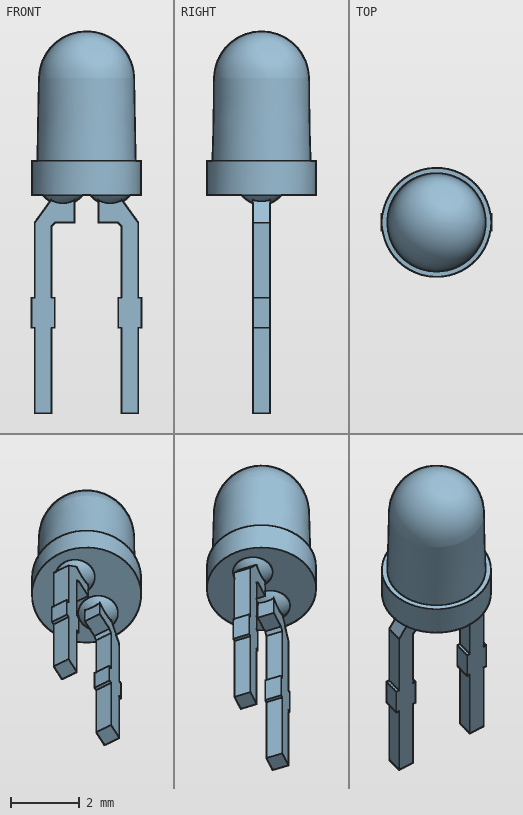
import cadquery as cq
import math

total_height = 11.2
overall_width = 3.24

flange_diameter = 3.2
flange_bottom = 6.4
flange_height = 1.01
flange_top = flange_bottom + flange_height
barrel_base_radius = 1.45
dome_radius = 1.4

drop_radius = 0.58
drop_depth = 0.28
drop_offset = 0.7

lead_thickness = 0.5
tab_width = 0.7
lead_offset = (overall_width - tab_width) / 2
tab_bottom = 2.51
tab_top = 3.39
crank_bottom = 5.59
crank_inner_x = 0.35
crank_top_outer_x = 0.94
crank_chamfer = 0.1


def make_drop(side):
    """Spherical cap hanging below the flange, on one side of the lens axis."""
    sphere_radius = (drop_radius**2 + drop_depth**2) / (2 * drop_depth)
    return (
        cq.Workplane("XZ", origin=(side * drop_offset, 0, flange_bottom))
        .moveTo(0, 0)
        .lineTo(drop_radius, 0)
        .radiusArc((0, -drop_depth), sphere_radius)
        .close()
        .revolve(360, (0, 0, 0), (0, 1, 0))
    )


def make_lens(leads):
    """Revolved lens with its resin drops, cut out where the leads enter."""
    dome_center = total_height - dome_radius
    base_drop = dome_center - flange_top
    taper = math.acos(dome_radius / math.hypot(barrel_base_radius, base_drop)) - math.atan2(
        base_drop, barrel_base_radius
    )
    tangent_point = (dome_radius * math.cos(taper), dome_center + dome_radius * math.sin(taper))
    lens = (
        cq.Workplane("XZ")
        .moveTo(0, flange_bottom)
        .lineTo(flange_diameter / 2, flange_bottom)
        .lineTo(flange_diameter / 2, flange_top)
        .lineTo(barrel_base_radius, flange_top)
        .lineTo(*tangent_point)
        .radiusArc((0, total_height), -dome_radius)
        .close()
        .revolve(360, (0, 0, 0), (0, 1, 0))
    )
    for side in (-1, 1):
        lens = lens.union(make_drop(side))
    for lead in leads:
        lens = lens.cut(lead)
    return lens


def make_lead(side):
    """Lead on one side: straight leg, stand-off tab and crank up to the flange."""
    outer_x = lead_offset + lead_thickness / 2
    inner_x = lead_offset - lead_thickness / 2
    outline = [
        (inner_x, 0),
        (outer_x, 0),
        (outer_x, crank_bottom),
        (crank_top_outer_x, flange_bottom),
        (crank_inner_x, flange_bottom),
        (crank_inner_x, crank_bottom),
        (inner_x - crank_chamfer, crank_bottom),
        (inner_x, crank_bottom - crank_chamfer),
    ]
    wire = (
        cq.Workplane("XZ")
        .polyline([(side * x, z) for x, z in outline])
        .close()
        .extrude(lead_thickness / 2, both=True)
    )
    tab = cq.Workplane("XY", origin=(side * lead_offset, 0, tab_bottom)).box(
        tab_width, lead_thickness, tab_top - tab_bottom, centered=(True, True, False)
    )
    return wire.union(tab)


leads = [make_lead(side) for side in (-1, 1)]
lens = make_lens(leads)

result = cq.Compound.makeCompound([lens.solids().val(), *[lead.solids().val() for lead in leads]])